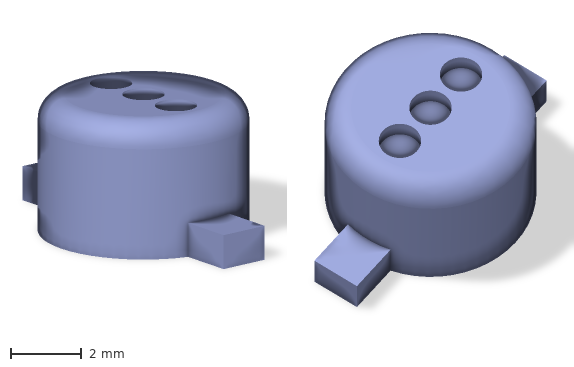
import cadquery as cq

body_diameter = 6.0
body_height = 4.0
top_edge_radius = 0.75

tab_span = 9.0
tab_width = 1.5
tab_height = 1.0

hole_diameter = 1.2
hole_spacing = 1.45
hole_depth = 0.5
hole_count = 3


def make_body():
    """Cylinder standing on Z = 0 with a rounded top edge."""
    cylinder = cq.Workplane("XY").circle(body_diameter / 2).extrude(body_height)
    return cylinder.faces(">Z").edges().fillet(top_edge_radius)


def make_tabs():
    """Bar through the body along X; its two ends form the tabs."""
    return cq.Workplane("XY").rect(tab_span, tab_width).extrude(tab_height)


def make_holes():
    """Blind holes in a row along X, centred on the body axis."""
    return (
        cq.Workplane("XY")
        .workplane(offset=body_height - hole_depth)
        .rarray(hole_spacing, 1, hole_count, 1)
        .circle(hole_diameter / 2)
        .extrude(hole_depth)
    )


result = make_body().union(make_tabs()).cut(make_holes())